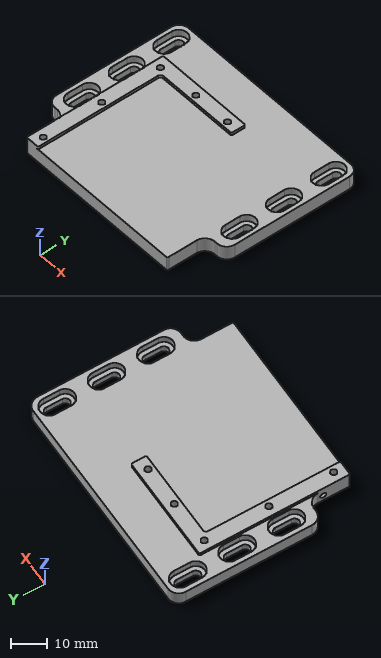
import cadquery as cq

plate_width = 76.0
plate_length = 62.0
plate_thickness = 5.0
ear_length = 48.0
tongue_width = 60.0
ear_radius = 3.5
small_radius = 0.5

ledge_height = 1.0
ledge_arm_width = 5.0
ledge_length_x = 35.0
ledge_length_y = 49.0
ledge_inner_radius = 1.0

slot_width = 3.1
slot_travel = 5.2
counterbore_width = 6.0
counterbore_depth = 2.5
slot_edge_offset = 4.5
slot_first_offset = 7.1
slot_pitch = 16.0
slots_per_side = 3

ledge_hole_diameter = 2.0
column_hole_inset = 3.0
column_first_offset = 3.5
column_pitch = 21.0
column_holes = 3
row_hole_inset = 3.0
row_first_offset = 17.5
row_pitch = 13.5
row_holes = 2

side_hole_diameter = 2.0
side_hole_depth = 6.0
side_hole_front_offset = 8.75
side_hole_height = plate_thickness / 2
side_hole_end_radius = 1.6

rear_y = plate_length / 2
front_y = -plate_length / 2
ear_front_y = rear_y - ear_length
tongue_x = tongue_width / 2
ledge_left_x = -tongue_x
ledge_rear_y = front_y + ledge_length_y
total_height = plate_thickness + ledge_height


def make_plate():
    ears = (
        cq.Workplane("XY")
        .center(0, (rear_y + ear_front_y) / 2)
        .rect(plate_width, ear_length)
        .extrude(plate_thickness)
        .edges("|Z")
        .fillet(ear_radius)
    )
    tongue = (
        cq.Workplane("XY")
        .rect(tongue_width, plate_length)
        .extrude(plate_thickness)
        .edges("|Z and <Y")
        .fillet(small_radius)
    )
    plate = ears.union(tongue)
    inner_corners = cq.selectors.BoxSelector(
        (-tongue_x - small_radius, ear_front_y - small_radius, 0),
        (tongue_x + small_radius, ear_front_y + small_radius, plate_thickness),
    )
    return plate.edges("|Z").edges(inner_corners).fillet(ear_radius)


def make_ledge():
    right_x = ledge_left_x + ledge_length_x
    inner_x = ledge_left_x + ledge_arm_width
    inner_y = ledge_rear_y - ledge_arm_width
    ledge = (
        cq.Workplane("XY")
        .workplane(offset=plate_thickness)
        .moveTo(ledge_left_x, front_y)
        .lineTo(inner_x, front_y)
        .lineTo(inner_x, inner_y)
        .lineTo(right_x, inner_y)
        .lineTo(right_x, ledge_rear_y)
        .lineTo(ledge_left_x, ledge_rear_y)
        .close()
        .extrude(ledge_height)
    )
    inner_corner = cq.selectors.NearestToPointSelector((inner_x, inner_y, plate_thickness))
    ledge = ledge.edges("|Z").edges(inner_corner).fillet(ledge_inner_radius)
    outer_corners = ledge.edges("|Z and (<X or >X or <Y)")
    return outer_corners.fillet(small_radius)


def slot_positions():
    slot_x = plate_width / 2 - slot_edge_offset
    return [
        (side * slot_x, rear_y - slot_first_offset - index * slot_pitch)
        for side in (-1, 1)
        for index in range(slots_per_side)
    ]


def slot_cutter(width, bottom_z):
    return (
        cq.Workplane("XY")
        .workplane(offset=bottom_z)
        .pushPoints(slot_positions())
        .slot2D(slot_travel + width, width, 90)
        .extrude(plate_thickness - bottom_z)
    )


def ledge_hole_positions():
    column = [
        (ledge_left_x + column_hole_inset, ledge_rear_y - column_first_offset - index * column_pitch)
        for index in range(column_holes)
    ]
    row = [
        (ledge_left_x + row_first_offset + index * row_pitch, ledge_rear_y - row_hole_inset)
        for index in range(row_holes)
    ]
    return column + row


def ledge_hole_cutter():
    return (
        cq.Workplane("XY")
        .pushPoints(ledge_hole_positions())
        .circle(ledge_hole_diameter / 2)
        .extrude(total_height)
    )


def side_hole_cutter():
    hole_y = front_y + side_hole_front_offset
    round_start = side_hole_depth - side_hole_end_radius
    round_axis_x = -tongue_x + round_start
    round_axis_z = side_hole_height + side_hole_diameter / 2 - side_hole_end_radius

    def bore(length):
        return (
            cq.Workplane("YZ")
            .workplane(offset=-tongue_x)
            .center(hole_y, side_hole_height)
            .circle(side_hole_diameter / 2)
            .extrude(length)
        )

    rounded_end = (
        cq.Workplane("XZ")
        .workplane(offset=-hole_y)
        .center(round_axis_x, round_axis_z)
        .circle(side_hole_end_radius)
        .extrude(side_hole_diameter, both=True)
    )
    return bore(round_start).union(bore(side_hole_depth).intersect(rounded_end))


result = make_plate().union(make_ledge())
result = result.cut(slot_cutter(slot_width, 0))
result = result.cut(slot_cutter(counterbore_width, plate_thickness - counterbore_depth))
result = result.cut(ledge_hole_cutter())
result = result.cut(side_hole_cutter())